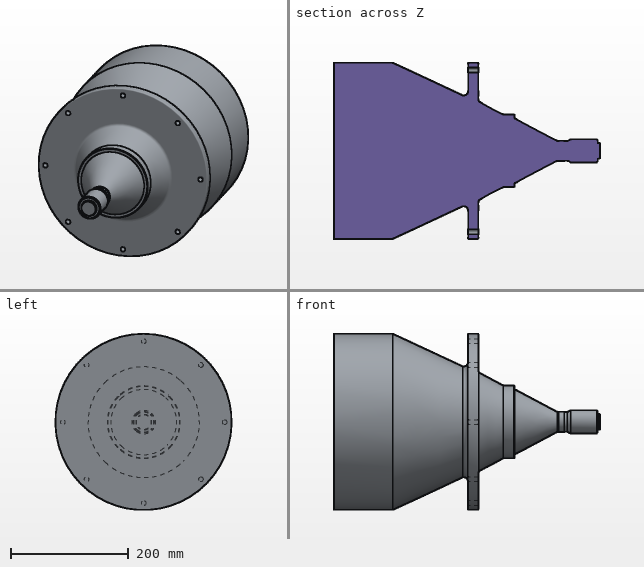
import cadquery as cq
import math


drum_radius = 150.0
drum_length = 100.0
front_cone_angle = math.radians(25.0)
front_neck_radius = 94.5

flange_radius = 150.0
flange_x = 227.75
flange_thickness = 18.0
flange_end_x = flange_x + flange_thickness
flange_edge_fillet = 2.0
front_root_fillet = 7.0
rear_root_fillet = 5.0

bolt_count = 8
bolt_circle_radius = 137.5
bolt_hole_diameter = 8.0

rear_cone_angle = math.radians(28.0)
collar_x = 288.0
collar_end_x = 307.0
collar_radius = 62.0
collar_chamfer = 1.0

shaft_cone_angle = math.radians(28.0)
shaft_x = 379.9
groove_radius = 17.0
band_x = 382.2
band_end_x = 391.8
band_radius = 17.5
shoulder_x = 397.0
grip_x = 402.5
grip_radius = 20.0
grip_end_x = 448.5
grip_chamfer = 2.0
tip_radius = 13.5
tip_chamfer = 1.0
total_length = 452.4

front_neck_x = drum_length + (drum_radius - front_neck_radius) / math.tan(front_cone_angle)
front_fillet_x = flange_x - front_root_fillet

rear_tangent_x = flange_end_x + rear_root_fillet * (1 - math.sin(rear_cone_angle))
rear_tangent_radius = collar_radius + (collar_x - rear_tangent_x) * math.tan(rear_cone_angle)
rear_root_radius = rear_tangent_radius + rear_root_fillet * math.cos(rear_cone_angle)

shaft_cone_length = shaft_x - collar_end_x
shaft_cone_radius = groove_radius + shaft_cone_length * math.tan(shaft_cone_angle)


def make_body():
    """Revolve the half outline, drawn as (x, radius) points, about the X axis."""
    outline = (
        cq.Workplane("XZ")
        .moveTo(0, 0)
        .lineTo(0, drum_radius)
        .lineTo(drum_length, drum_radius)
        .lineTo(front_neck_x, front_neck_radius)
        .lineTo(front_fillet_x, front_neck_radius)
        .radiusArc((flange_x, front_neck_radius + front_root_fillet), -front_root_fillet)
        .lineTo(flange_x, flange_radius - flange_edge_fillet)
        .radiusArc((flange_x + flange_edge_fillet, flange_radius), flange_edge_fillet)
        .lineTo(flange_end_x - flange_edge_fillet, flange_radius)
        .radiusArc((flange_end_x, flange_radius - flange_edge_fillet), flange_edge_fillet)
        .lineTo(flange_end_x, rear_root_radius)
        .radiusArc((rear_tangent_x, rear_tangent_radius), -rear_root_fillet)
        .lineTo(collar_x, collar_radius)
        .lineTo(collar_end_x - collar_chamfer, collar_radius)
        .lineTo(collar_end_x, collar_radius - collar_chamfer)
        .lineTo(collar_end_x, shaft_cone_radius)
        .lineTo(shaft_x, groove_radius)
        .lineTo(band_x, groove_radius)
        .lineTo(band_x, band_radius)
        .lineTo(band_end_x, band_radius)
        .lineTo(band_end_x, groove_radius)
        .lineTo(shoulder_x, groove_radius)
        .lineTo(grip_x, grip_radius)
        .lineTo(grip_end_x - grip_chamfer, grip_radius)
        .lineTo(grip_end_x, grip_radius - grip_chamfer)
        .lineTo(grip_end_x, tip_radius)
        .lineTo(total_length - tip_chamfer, tip_radius)
        .lineTo(total_length, tip_radius - tip_chamfer)
        .lineTo(total_length, 0)
        .close()
    )
    return outline.revolve(360, (0, 0, 0), (1, 0, 0))


def make_bolt_holes():
    """Cylinders through the flange, evenly spaced, with one on the Y axis."""
    return (
        cq.Workplane("YZ", origin=(flange_x, 0, 0))
        .polarArray(bolt_circle_radius, 0, 360, bolt_count)
        .circle(bolt_hole_diameter / 2)
        .extrude(flange_thickness)
    )


result = make_body().cut(make_bolt_holes())